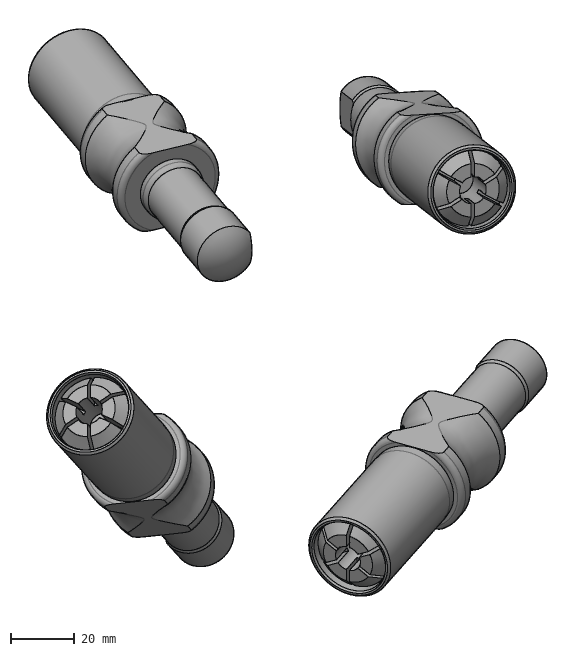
import cadquery as cq
import math

total_length = 125.0
sleeve_start = 0.5
sleeve_chamfer = 0.8
sleeve_diameter = 28.9
round_start = 43.0
grip_start = 46.3
grip_end = 77.9
collar_end = 82.2
shaft_end = 106.9
tip_start = 108.0
dome_start = 120.9

round_end_diameter = 28.5

grip_diameter = 35.0
grip_rim_width = 5.4
grip_edge_radius = 1.9
waist_diameter = 29.0
grip_thickness = sleeve_diameter

collar_diameter = 20.6
collar_flat_length = 2.1
collar_round_radius = 2.8
shaft_diameter = 19.0
tip_diameter = 20.0
tip_flat_height = 8.3

bore_diameter = 25.3
bore_mouth_diameter = 26.0
bore_mouth_depth = 0.9
bore_depth = 7.5
collet_diameter = 24.8
collet_face_diameter = 17.3
collet_hole_diameter = 8.8
collet_hole_depth = 15.0
slot_width = 1.1
slot_count = 6


def cylinder(diameter, start, end):
    """Cylinder on the X axis."""
    return cq.Workplane("YZ", origin=(start, 0, 0)).circle(diameter / 2).extrude(end - start)


def revolve_profile(profile):
    """Revolve a closed XY outline about the X axis."""
    return profile.close().revolve(360, (0, 0, 0), (1, 0, 0))


def make_sleeve():
    outer = sleeve_diameter / 2
    body = revolve_profile(
        cq.Workplane("XY")
        .moveTo(sleeve_start, 0)
        .lineTo(sleeve_start, outer - sleeve_chamfer)
        .lineTo(sleeve_start + sleeve_chamfer, outer)
        .lineTo(round_start, outer)
        .tangentArcPoint((grip_start, round_end_diameter / 2), relative=False)
        .lineTo(grip_start, 0)
    )
    bore = revolve_profile(
        cq.Workplane("XY")
        .moveTo(sleeve_start, 0)
        .lineTo(sleeve_start, bore_mouth_diameter / 2)
        .lineTo(sleeve_start + bore_mouth_depth, bore_diameter / 2)
        .lineTo(bore_depth, bore_diameter / 2)
        .lineTo(bore_depth, 0)
    )
    return body.cut(bore)


def make_collet():
    radius = collet_diameter / 2
    face_radius = collet_face_diameter / 2
    cone_length = radius - face_radius
    collet = revolve_profile(
        cq.Workplane("XY")
        .lineTo(0, face_radius)
        .lineTo(cone_length, radius)
        .lineTo(bore_depth, radius)
        .lineTo(bore_depth, 0)
    )
    for index in range(slot_count):
        slot = (
            cq.Workplane("XY")
            .box(bore_depth, slot_width, radius, centered=(False, True, False))
            .rotate((0, 0, 0), (1, 0, 0), index * 360 / slot_count)
        )
        collet = collet.cut(slot)
    return collet


def make_grip():
    outer = grip_diameter / 2
    middle = (grip_start + grip_end) / 2
    grip = revolve_profile(
        cq.Workplane("XY")
        .moveTo(grip_start, 0)
        .lineTo(grip_start, outer - grip_edge_radius)
        .radiusArc((grip_start + grip_edge_radius, outer), grip_edge_radius)
        .lineTo(grip_start + grip_rim_width, outer)
        .threePointArc((middle, waist_diameter / 2), (grip_end - grip_rim_width, outer))
        .lineTo(grip_end - grip_edge_radius, outer)
        .radiusArc((grip_end, outer - grip_edge_radius), grip_edge_radius)
        .lineTo(grip_end, 0)
    )
    slab = cq.Workplane("XY", origin=(middle, 0, 0)).box(
        grip_end - grip_start, grip_diameter, grip_thickness
    )
    return grip.intersect(slab)


def make_shank():
    collar_radius = collar_diameter / 2
    shaft_radius = shaft_diameter / 2
    tip_radius = tip_diameter / 2
    dome_height = total_length - dome_start
    dome_radius = (tip_radius**2 + dome_height**2) / (2 * dome_height)
    dome_middle_angle = math.asin(tip_radius / dome_radius) / 2
    dome_middle = (
        total_length - dome_radius * (1 - math.cos(dome_middle_angle)),
        dome_radius * math.sin(dome_middle_angle),
    )
    shank = revolve_profile(
        cq.Workplane("XY")
        .moveTo(grip_end, 0)
        .lineTo(grip_end, collar_radius)
        .lineTo(grip_end + collar_flat_length, collar_radius)
        .radiusArc((collar_end, shaft_radius), collar_round_radius)
        .lineTo(shaft_end, shaft_radius)
        .lineTo(tip_start, tip_radius)
        .lineTo(dome_start, tip_radius)
        .threePointArc(dome_middle, (total_length, 0))
    )
    ramp = tip_diameter - tip_flat_height
    flat = (
        cq.Workplane("XY")
        .moveTo(shaft_end, tip_flat_height)
        .lineTo(total_length, tip_flat_height)
        .lineTo(total_length, tip_diameter)
        .lineTo(shaft_end - ramp, tip_diameter)
        .close()
        .extrude(tip_diameter / 2, both=True)
    )
    return shank.cut(flat)


result = make_sleeve().union(make_collet()).union(make_grip()).union(make_shank())
result = result.cut(cylinder(collet_hole_diameter, 0, collet_hole_depth))